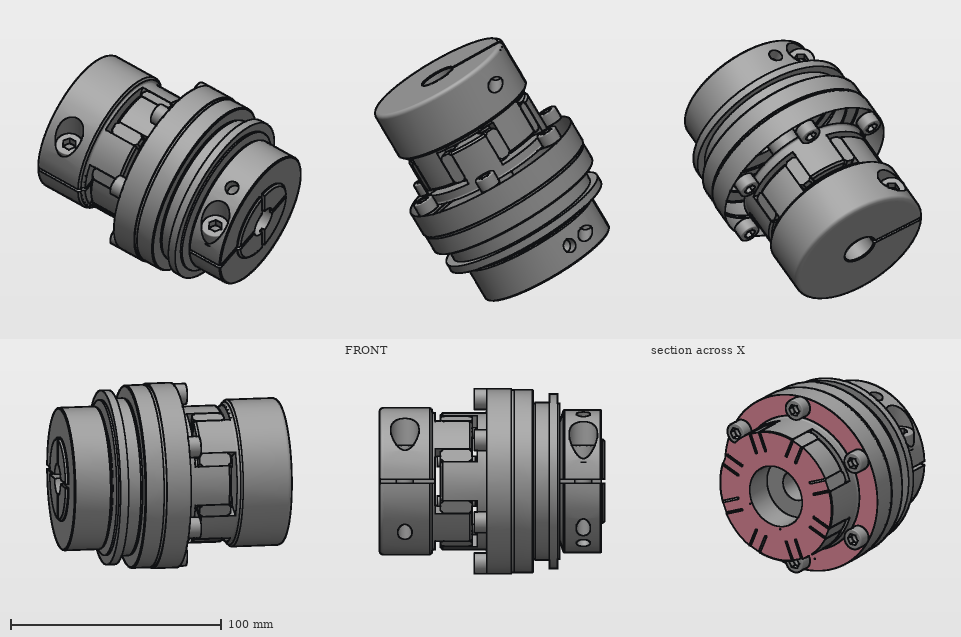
import cadquery as cq
import math


HUB_SHOULDER = 25.0
HUB_FACE = 26.5
SPIDER_START = 29.0
SPIDER_END = 44.1
BASE_START = 46.4
FLANGE_START = 51.0
FLANGE_END = 62.7
RING_START = 64.0
RING_END = 73.1
BARREL_START = 74.0
COLLAR_START = 80.8
COLLAR_END = 84.7
LIP_END = 85.7
CLAMP_START = 87.3
CLAMP_END = 105.5
TOTAL_LENGTH = 107.0

HUB_RADIUS = 35.0
JAW_OUTER_RADIUS = 32.5
JAW_INNER_RADIUS = 22.5
FLANGE_RADIUS = 44.0
GAP_RADIUS = 43.4
RING_RADIUS = 43.5
BARREL_RADIUS = 37.5
GROOVE_RADIUS = 37.0
COLLAR_RADIUS = 41.5
NECK_RADIUS = 28.0
CLAMP_RADIUS = 34.0
END_RING_RADIUS = 20.0
HUB_BORE_RADIUS = 8.0
CLAMP_BORE_RADIUS = 7.4

HUB_ROUND = 2.0
HUB_CHAMFER = 1.0
EDGE_CHAMFER = 0.5
JAW_CHAMFER = 1.1
ROOT_ROUND = 1.0
CLAMP_CHAMFER = 0.8

JAW_COUNT = 4
LEG_COUNT = 2 * JAW_COUNT
LEG_PITCH = 360.0 / LEG_COUNT
LEG_WIDTH = 6.5
LEG_TOP = 32.1
LEG_CHAMFER = 1.5
SPIDER_BORE_RADIUS = 15.0
STUD_DIAMETER = 5.0
STUD_CENTRE_RADIUS = 24.8
STUD_LENGTH = 1.6

FLANGE_SCREW_COUNT = 6
FLANGE_SCREW_CIRCLE_RADIUS = 39.0
FLANGE_HEAD_DIAMETER = 10.0
FLANGE_HEAD_HEIGHT = 6.0
FLANGE_SOCKET_WIDTH = 5.0

SLIT_WIDTH = 2.0
CLAMP_HEAD_DIAMETER = 13.0
CLAMP_HEAD_HEIGHT = 8.0
CLAMP_HEAD_TOP = 17.1
CLAMP_SOCKET_WIDTH = 6.0
COUNTERBORE_DIAMETER = 13.5
SHANK_DIAMETER = 8.0
TAPPED_DIAMETER = 6.8
HUB_SCREW_X = 12.1
HUB_SCREW_Y = -25.0
CLAMP_SCREW_X = 96.9
CLAMP_SCREW_Y = -25.5

SIDE_HOLE_DIAMETER = 6.5
SIDE_HOLE_DEPTH = 6.0
SIDE_HOLE_ANGLES = (70.0, -60.0)

HEAD_ROUND = 0.5
SOCKET_DEPTH_RATIO = 0.5
HEXAGON_SIDES = 6
DRILL_TIP_ANGLE = 120.0


def turned(profile):
    """Revolve a closed (x, radius) outline about the X axis, starting on the slit side."""
    outline = [(x, -radius) for x, radius in profile]
    return cq.Workplane("XY").polyline(outline).close().revolve(360, (0, 0, 0), (1, 0, 0))


def tube(start, end, outer, inner):
    return turned([(start, inner), (end, inner), (end, outer), (start, outer)])


def round_jaw_root(body, x):
    """Fillet the inside corner where the jaw cylinder meets the shoulder at x."""
    reach = JAW_OUTER_RADIUS + EDGE_CHAMFER
    low = (x - EDGE_CHAMFER, -reach, -reach)
    high = (x + EDGE_CHAMFER, reach, reach)
    box = cq.selectors.BoxSelector(low, high, boundingbox=True)
    corner = body.edges("%CIRCLE").edges(box).edges(cq.selectors.RadiusNthSelector(-1))
    return corner.fillet(ROOT_ROUND)


def vertical_cylinder(x, y, diameter, bottom, top):
    return (
        cq.Workplane("XY", origin=(x, y, bottom))
        .circle(diameter / 2)
        .extrude(top - bottom)
    )


def drill_tip(diameter):
    """Downward cone whose base lies on the XY plane."""
    depth = diameter / 2 / math.tan(math.radians(DRILL_TIP_ANGLE / 2))
    return cq.Workplane(cq.Solid.makeCone(0, diameter / 2, depth).translate(cq.Vector(0, 0, -depth)))


def socket_head(diameter, height, socket_width):
    """Cap screw head standing on the XY plane, hexagon corners along X."""
    head = (
        cq.Workplane("XY").circle(diameter / 2).extrude(height)
        .faces(">Z").edges().fillet(HEAD_ROUND)
    )
    across_corners = socket_width / math.cos(math.pi / HEXAGON_SIDES)
    floor = height * (1 - SOCKET_DEPTH_RATIO)
    socket = (
        cq.Workplane("XY", origin=(0, 0, floor))
        .polygon(HEXAGON_SIDES, across_corners)
        .extrude(height)
    )
    tip = drill_tip(socket_width).translate((0, 0, floor))
    return head.cut(socket).cut(tip)


def jaw_crown(root, tip, first_angle):
    """Jaws from root to tip along X, leaving parallel-sided gaps for the spider legs."""
    chamfer_start = tip - math.copysign(JAW_CHAMFER, tip - root)
    ring = turned([
        (root, JAW_INNER_RADIUS),
        (tip, JAW_INNER_RADIUS),
        (tip, JAW_OUTER_RADIUS - JAW_CHAMFER),
        (chamfer_start, JAW_OUTER_RADIUS),
        (root, JAW_OUTER_RADIUS),
    ])
    half_gap = LEG_WIDTH / 2
    half_pitch = math.radians(LEG_PITCH / 2)
    apex = half_gap / math.sin(half_pitch)
    reach = 2 * JAW_OUTER_RADIUS
    spread = (reach - apex) * math.tan(half_pitch)
    wedge = (
        cq.Workplane("YZ", origin=(root, 0, 0))
        .polyline([(apex, 0), (reach, spread), (reach, -spread)]).close()
        .extrude(tip - root)
    )
    crown = cq.Workplane("XY")
    for index in range(JAW_COUNT):
        angle = first_angle + index * 360.0 / JAW_COUNT
        crown = crown.add(ring.intersect(wedge.rotate((0, 0, 0), (1, 0, 0), angle)))
    return crown.combine()


def spider():
    length = SPIDER_END - SPIDER_START
    body = tube(SPIDER_START, SPIDER_END, JAW_INNER_RADIUS, SPIDER_BORE_RADIUS)
    leg_root = (SPIDER_BORE_RADIUS + JAW_INNER_RADIUS) / 2
    leg = (
        cq.Workplane("XY", origin=((SPIDER_START + SPIDER_END) / 2, 0, leg_root))
        .rect(length, LEG_WIDTH)
        .extrude(LEG_TOP - leg_root)
        .edges("|Z").chamfer(LEG_CHAMFER)
    )
    stud = (
        cq.Workplane("YZ", origin=(SPIDER_START - STUD_LENGTH, 0, 0))
        .center(0, STUD_CENTRE_RADIUS)
        .circle(STUD_DIAMETER / 2)
        .extrude(length + 2 * STUD_LENGTH)
    )
    arm = leg.union(stud)
    for index in range(LEG_COUNT):
        angle = (index + 0.5) * LEG_PITCH
        body = body.union(arm.rotate((0, 0, 0), (1, 0, 0), angle))
    return body


def add_clamp_screw(body, x, y, reach, slit_start, slit_end):
    """Slit the hub towards -Y and fit a cap screw across the slit."""
    seat = CLAMP_HEAD_TOP - CLAMP_HEAD_HEIGHT
    slit = (
        cq.Workplane("XY")
        .box(slit_end - slit_start, reach, SLIT_WIDTH, centered=(False, False, True))
        .translate((slit_start, -reach, 0))
    )
    counterbore = vertical_cylinder(x, y, COUNTERBORE_DIAMETER, seat, reach)
    tapped = vertical_cylinder(x, y, TAPPED_DIAMETER, -reach, -SLIT_WIDTH)
    head = socket_head(CLAMP_HEAD_DIAMETER, CLAMP_HEAD_HEIGHT, CLAMP_SOCKET_WIDTH)
    shank = vertical_cylinder(x, y, SHANK_DIAMETER, -SLIT_WIDTH, seat)
    body = body.cut(slit).cut(counterbore).cut(tapped)
    return body.union(head.translate((x, y, seat))).union(shank)


def first_hub():
    hub = turned([
        (0, HUB_BORE_RADIUS + EDGE_CHAMFER),
        (EDGE_CHAMFER, HUB_BORE_RADIUS),
        (HUB_FACE, HUB_BORE_RADIUS),
        (HUB_FACE, JAW_OUTER_RADIUS),
        (HUB_SHOULDER, JAW_OUTER_RADIUS),
        (HUB_SHOULDER, HUB_RADIUS - HUB_CHAMFER),
        (HUB_SHOULDER - HUB_CHAMFER, HUB_RADIUS),
        (0, HUB_RADIUS),
    ])
    outer_rim = cq.selectors.RadiusNthSelector(-1)
    hub = hub.faces("<X").edges(outer_rim).fillet(HUB_ROUND)
    hub = round_jaw_root(hub, HUB_SHOULDER)
    hub = add_clamp_screw(hub, HUB_SCREW_X, HUB_SCREW_Y, HUB_RADIUS, 0, HUB_FACE)
    jaws = jaw_crown(HUB_FACE, SPIDER_END, LEG_PITCH)
    return hub.union(jaws)


def limiter_body():
    body = turned([
        (BASE_START, CLAMP_BORE_RADIUS),
        (BASE_START, JAW_OUTER_RADIUS),
        (FLANGE_START, JAW_OUTER_RADIUS),
        (FLANGE_START, FLANGE_RADIUS),
        (FLANGE_END, FLANGE_RADIUS),
        (FLANGE_END, GAP_RADIUS),
        (RING_START, GAP_RADIUS),
        (RING_START, RING_RADIUS),
        (RING_END - EDGE_CHAMFER, RING_RADIUS),
        (RING_END, RING_RADIUS - EDGE_CHAMFER),
        (RING_END, GROOVE_RADIUS),
        (BARREL_START, GROOVE_RADIUS),
        (BARREL_START, BARREL_RADIUS),
        (COLLAR_START, BARREL_RADIUS),
        (COLLAR_START, COLLAR_RADIUS),
        (COLLAR_END, COLLAR_RADIUS),
        (COLLAR_END, GROOVE_RADIUS),
        (LIP_END, GROOVE_RADIUS),
        (LIP_END, NECK_RADIUS),
        (CLAMP_START, CLAMP_RADIUS - EDGE_CHAMFER),
        (CLAMP_START + CLAMP_CHAMFER, CLAMP_RADIUS),
        (CLAMP_END - EDGE_CHAMFER, CLAMP_RADIUS),
        (CLAMP_END, CLAMP_RADIUS - EDGE_CHAMFER),
        (CLAMP_END, END_RING_RADIUS),
        (TOTAL_LENGTH - HUB_CHAMFER, END_RING_RADIUS),
        (TOTAL_LENGTH, END_RING_RADIUS - HUB_CHAMFER),
        (TOTAL_LENGTH, CLAMP_BORE_RADIUS),
    ])
    body = round_jaw_root(body, FLANGE_START)
    body = add_clamp_screw(body, CLAMP_SCREW_X, CLAMP_SCREW_Y, CLAMP_RADIUS, LIP_END, CLAMP_END)
    jaws = jaw_crown(BASE_START, SPIDER_START, 0)
    return cut_side_holes(cut_end_slots(body)).union(jaws)


def cut_end_slots(body):
    """Two crossed slots through the ring on the +X end."""
    slot = cq.Workplane("XY").box(
        TOTAL_LENGTH - CLAMP_END, 2 * END_RING_RADIUS, SLIT_WIDTH, centered=(False, True, True)
    ).translate((CLAMP_END, 0, 0))
    return body.cut(slot).cut(slot.rotate((0, 0, 0), (1, 0, 0), 90))


def cut_side_holes(body):
    """Blind radial holes with drilled bottoms, one on each side of the slit."""
    floor = CLAMP_RADIUS - SIDE_HOLE_DEPTH
    hole = vertical_cylinder(CLAMP_SCREW_X, 0, SIDE_HOLE_DIAMETER, floor, CLAMP_RADIUS + SIDE_HOLE_DEPTH)
    hole = hole.union(drill_tip(SIDE_HOLE_DIAMETER).translate((CLAMP_SCREW_X, 0, floor)))
    for angle in SIDE_HOLE_ANGLES:
        body = body.cut(hole.rotate((0, 0, 0), (1, 0, 0), 90 - angle))
    return body


def add_flange_screws(body):
    head = socket_head(FLANGE_HEAD_DIAMETER, FLANGE_HEAD_HEIGHT, FLANGE_SOCKET_WIDTH)
    head = head.rotate((0, 0, 0), (0, 0, 1), 90).rotate((0, 0, 0), (0, 1, 0), -90)
    for index in range(FLANGE_SCREW_COUNT):
        angle = math.radians(90 + index * 360.0 / FLANGE_SCREW_COUNT)
        y = FLANGE_SCREW_CIRCLE_RADIUS * math.cos(angle)
        z = FLANGE_SCREW_CIRCLE_RADIUS * math.sin(angle)
        body = body.union(head.translate((FLANGE_START, y, z)))
    return body


result = add_flange_screws(limiter_body()).union(first_hub()).union(spider())